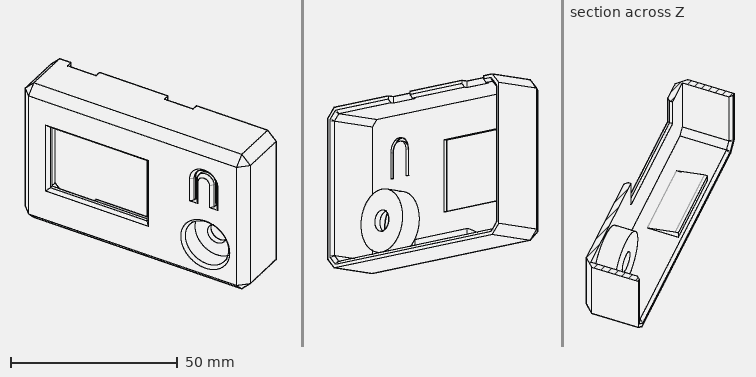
import cadquery as cq

LENGTH = 79.0
DEPTH = 18.0
HEIGHT = 49.0
OUTER_BEVEL = 3.0
WALL = 2.0
INNER_BEVEL = 2.0
RIM_BEVEL = 1.0
INNER_LENGTH = LENGTH - 2 * WALL
INNER_HEIGHT = HEIGHT - 2 * WALL

WINDOW_LENGTH = 34.0
WINDOW_HEIGHT = 22.0
WINDOW_X = -12.5
WINDOW_Z = 1.0
WINDOW_BEVEL = 1.0

TONGUE_X = 25.0
TONGUE_ARC_Z = 11.5
TONGUE_LEG = 8.0
TONGUE_RADIUS = 3.0
SLOT_WIDTH = 1.0
SLOT_BEVEL = 1.0

RECESS_X = 25.5
RECESS_Z = -10.5
RECESS_DIAMETER = 15.2
RECESS_DEPTH = 6.6
RECESS_BEVEL = 1.0
RECESS_HOLE_DIAMETER = 6.4

NOTCH_LENGTH = 10.0
NOTCH_DEPTH = 2.0
NOTCH_SPACING = 34.0
NOTCH_MIDDLE_X = -10.5

LEDGE_LENGTH = NOTCH_SPACING - NOTCH_LENGTH
LEDGE_HEIGHT = 2.0
LEDGE_FLAT = 1.0
LEDGE_RAMP = 9.0


def front_plane(x, z, y=0.0):
    """Workplane parallel to the front face at depth y; negative extrusions go into the case."""
    return cq.Workplane("XZ", origin=(x, y, z))


def make_shell():
    outer = front_plane(0, 0).rect(LENGTH, HEIGHT).extrude(-DEPTH)
    outer = outer.edges("|Y or <Y").chamfer(OUTER_BEVEL)
    cavity = front_plane(0, 0, WALL).rect(INNER_LENGTH, INNER_HEIGHT).extrude(WALL + RIM_BEVEL - DEPTH)
    cavity = cavity.edges("|Y").chamfer(INNER_BEVEL)
    cavity = cavity.faces(">Y").wires().toPending().workplane().extrude(RIM_BEVEL, taper=-45)
    return outer.cut(cavity)


def make_window():
    opening = front_plane(WINDOW_X, WINDOW_Z).rect(WINDOW_LENGTH, WINDOW_HEIGHT).extrude(-WALL)
    flare = (
        front_plane(WINDOW_X, WINDOW_Z)
        .rect(WINDOW_LENGTH + 2 * WINDOW_BEVEL, WINDOW_HEIGHT + 2 * WINDOW_BEVEL)
        .workplane(offset=-WINDOW_BEVEL)
        .rect(WINDOW_LENGTH, WINDOW_HEIGHT)
        .loft()
    )
    return opening.union(flare)


def slot_section(z):
    """Cross-section of the slot on the +X side of the tongue, wide at the front face."""
    inner = TONGUE_RADIUS
    outer = TONGUE_RADIUS + SLOT_WIDTH
    corners = [
        (inner - SLOT_BEVEL, 0),
        (outer + SLOT_BEVEL, 0),
        (outer, SLOT_BEVEL),
        (outer, WALL),
        (inner, WALL),
        (inner, SLOT_BEVEL),
    ]
    return cq.Workplane("XY", origin=(TONGUE_X, 0, z)).polyline(corners).close()


def make_tongue_slot():
    right_leg = slot_section(TONGUE_ARC_Z).extrude(-TONGUE_LEG)
    left_leg = right_leg.mirror("YZ", (TONGUE_X, 0, 0))
    arch = slot_section(TONGUE_ARC_Z).revolve(180, (0, 0, 0), (0, -1, 0))
    return arch.union(right_leg).union(left_leg)


def recess_disc(diameter, start, end):
    """Disc on the recess axis from depth start to depth end."""
    return front_plane(RECESS_X, RECESS_Z, start).circle(diameter / 2).extrude(start - end)


def make_recess_cup():
    return recess_disc(RECESS_DIAMETER + 2 * WALL, WALL, RECESS_DEPTH + WALL)


def make_recess():
    pocket = recess_disc(RECESS_DIAMETER, 0, RECESS_DEPTH)
    flare = (
        front_plane(RECESS_X, RECESS_Z)
        .circle(RECESS_DIAMETER / 2 + RECESS_BEVEL)
        .workplane(offset=-RECESS_BEVEL)
        .circle(RECESS_DIAMETER / 2)
        .loft()
    )
    hole = recess_disc(RECESS_HOLE_DIAMETER, RECESS_DEPTH, RECESS_DEPTH + WALL)
    return pocket.union(flare).union(hole)


def make_notches():
    return (
        cq.Workplane("XY", origin=(NOTCH_MIDDLE_X, DEPTH - NOTCH_DEPTH / 2, HEIGHT / 2 - WALL))
        .rarray(NOTCH_SPACING, 1, 2, 1)
        .rect(NOTCH_LENGTH, NOTCH_DEPTH)
        .extrude(WALL)
    )


def make_ledge():
    back = DEPTH - NOTCH_DEPTH
    bottom = -INNER_HEIGHT / 2
    top = bottom + LEDGE_HEIGHT
    corners = [
        (back, bottom),
        (back, top),
        (back - LEDGE_FLAT, top),
        (back - LEDGE_FLAT - LEDGE_RAMP, bottom),
    ]
    profile = cq.Workplane("YZ", origin=(NOTCH_MIDDLE_X, 0, 0)).polyline(corners).close()
    return profile.extrude(LEDGE_LENGTH / 2, both=True)


result = (
    make_shell()
    .union(make_recess_cup())
    .union(make_ledge())
    .cut(make_window())
    .cut(make_tongue_slot())
    .cut(make_recess())
    .cut(make_notches())
)